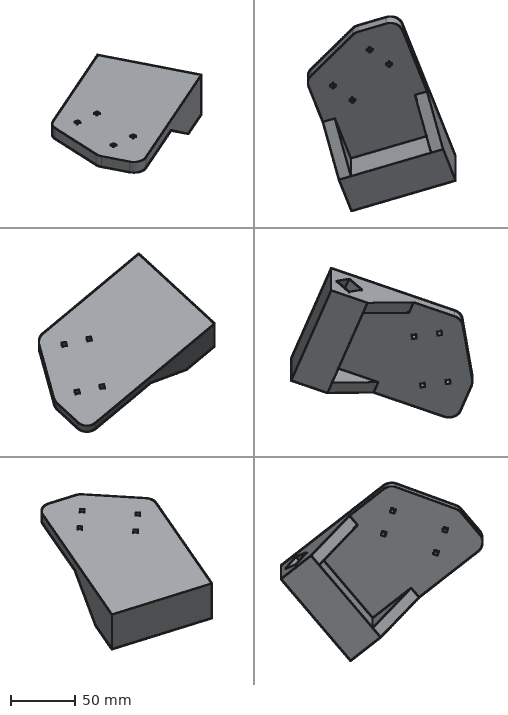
import cadquery as cq
import math

width = 86.0
length = 138.0
height = 36.6
plate_thickness = 10.0
plate_underside = height - plate_thickness

slant_angle = 30.0
slant_start_x = 50.2
corner_radius = 10.0
slant_rise = slant_start_x * math.tan(math.radians(slant_angle))

rib_thickness = 10.0
rib_bottom_length = 30.4
rib_top_length = 69.0
block_length = rib_bottom_length

pocket_diagonal = 21.3
pocket_from_rear = 15.0
pocket_depth = width / 2
pocket_y = length - pocket_from_rear
pocket_z = height / 2

hole_side = 3.5
hole_pitch_along = 43.6
hole_pitch_across = 20.0
hole_center_x = 42.2
hole_center_y = 38.1


def make_plate():
    outline = [(0, slant_rise), (slant_start_x, 0), (width, 0), (width, length), (0, length)]
    plate = cq.Workplane("XY").workplane(offset=plate_underside).polyline(outline).close()
    plate = plate.extrude(plate_thickness)
    return plate.edges("|Z").edges("not >Y").fillet(corner_radius)


def make_rib(start_x):
    profile = [
        (length, 0),
        (length, plate_underside),
        (length - rib_top_length, plate_underside),
        (length - rib_bottom_length, 0),
    ]
    rib = cq.Workplane("YZ").workplane(offset=start_x).polyline(profile).close()
    return rib.extrude(rib_thickness)


def make_block():
    block = cq.Workplane("XY").box(width, block_length, plate_underside, centered=False)
    return block.translate((0, length - block_length, 0))


def make_diamond_pocket():
    corners = [
        (pocket_y - pocket_diagonal / 2, pocket_z),
        (pocket_y, pocket_z - pocket_diagonal / 2),
        (pocket_y + pocket_diagonal / 2, pocket_z),
        (pocket_y, pocket_z + pocket_diagonal / 2),
    ]
    return cq.Workplane("YZ").polyline(corners).close().extrude(pocket_depth)


def make_square_holes():
    holes = cq.Workplane("XY").rarray(hole_pitch_along, hole_pitch_across, 2, 2)
    holes = holes.rect(hole_side, hole_side).extrude(height)
    holes = holes.rotate((0, 0, 0), (0, 0, 1), -slant_angle)
    return holes.translate((hole_center_x, hole_center_y, 0))


result = make_plate().union(make_block())
for rib_start in (0, width - rib_thickness):
    result = result.union(make_rib(rib_start))
result = result.cut(make_diamond_pocket()).cut(make_square_holes())